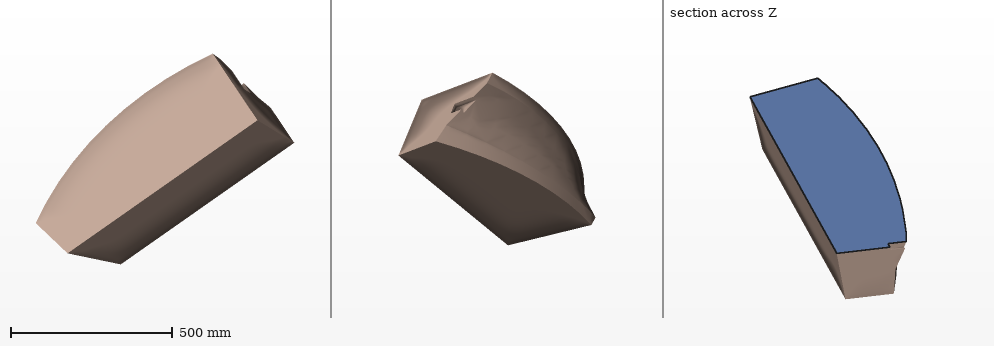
import cadquery as cq
import math

width = 306.0
length = 959.0
height = 260.0

front_lean = 218.0
back_top_y = 776.5
back_bottom_y = 927.0
back_skew = 0.21
oversize = 575.0

bulge_radius = 1237.0
upper_bulge_y = 598.0
lower_bulge_y = length - upper_bulge_y
lower_setback = 3.0
band_height = 40.0
band_taper = 0.19

slot_end_x = 141.0
slot_bottom_z = 123.0
slot_top_z = 167.0
slot_depth = 14.0


def prism(points, vector):
    """Sweep a closed polygon in a straight line."""
    wire = cq.Wire.makePolygon([cq.Vector(*p) for p in points], close=True)
    return cq.Workplane(obj=cq.Solid.extrudeLinear(wire, [], cq.Vector(*vector)))


def back_y(z):
    """Y of the +Y end along the flat side at height z."""
    return back_bottom_y + (back_top_y - back_bottom_y) * z / height


def sloping_block():
    """Block with its leaning -Y end and its leaning, skewed +Y end."""
    front_profile = [
        (width, 0, height),
        (width, front_lean, 0),
        (width, length + oversize, 0),
        (width, length + oversize, height),
    ]
    back_profile = [
        (width, -oversize, 0),
        (width, back_bottom_y, 0),
        (width, back_top_y, height),
        (width, -oversize, height),
    ]
    front_part = prism(front_profile, (-oversize, 0, 0))
    back_part = prism(back_profile, (-oversize, back_skew * oversize, 0))
    return front_part.intersect(back_part)


def flipped(shape):
    """Swap top and bottom about the mid-height plane."""
    return shape.mirror("XY", (0, 0, height / 2))


def bottom_band(block, bulge_y, setback):
    """Tapered slab at the bottom of the block, rounded by its bulge cylinder."""
    wedge_start = -10.0
    wedge_end = width + 10.0
    wedge_profile = [
        (wedge_start, 0),
        (wedge_end, 0),
        (wedge_end, band_height + band_taper * wedge_end),
        (wedge_start, band_height + band_taper * wedge_start),
    ]
    cylinder = (
        cq.Workplane("XY")
        .center(bulge_radius + setback, bulge_y)
        .circle(bulge_radius)
        .extrude(height)
    )
    wedge = cq.Workplane("XZ", origin=(0, -oversize, 0)).polyline(wedge_profile).close()
    wedge = wedge.extrude(-(length + 2 * oversize))
    return block.intersect(cylinder).intersect(wedge)


def middle_block(lower_face, upper_face):
    """Solid between two facing band faces, ruled along their curved edges."""
    lower_curve = lower_face.edges("not %LINE").val()
    upper_curve = cq.Edge(upper_face.edges("not %LINE").val().wrapped.Reversed())
    faces = [
        lower_face.val(),
        upper_face.val(),
        cq.Face.makeRuledSurface(lower_curve, upper_curve),
    ]
    for side in (">X", "<Y", ">Y"):
        lower_ends = lower_face.edges("%LINE").edges(side).vertices().vals()
        upper_ends = upper_face.edges("%LINE").edges(side).vertices().vals()
        along = cq.Vector(0, 1, 0) if side == ">X" else cq.Vector(1, 0, 0)
        corners = []
        for ends, flip in ((lower_ends, False), (upper_ends, True)):
            points = [cq.Vector(*v.toTuple()) for v in ends]
            corners += sorted(points, key=lambda p: p.dot(along), reverse=flip)
        outline = cq.Wire.makePolygon(corners, close=True)
        faces.append(cq.Face.makeFromWires(outline))
    return cq.Workplane(obj=cq.Solid.makeSolid(cq.Shell.makeShell(faces)).fix())


def slot_cutter():
    """Slot with side walls and floor square to the slope of the +Y end."""
    slope = math.atan2(back_bottom_y - back_top_y, height)
    inward_y = -math.cos(slope)
    inward_z = -math.sin(slope)

    def corner(z, depth):
        y = back_y(z) + depth * inward_y + back_skew * (width - slot_end_x)
        return (slot_end_x, y, z + depth * inward_z)

    profile = [
        corner(slot_bottom_z, -slot_depth),
        corner(slot_bottom_z, slot_depth),
        corner(slot_top_z, slot_depth),
        corner(slot_top_z, -slot_depth),
    ]
    return prism(profile, (-width, back_skew * width, 0))


block = sloping_block()
lower_band = bottom_band(block, lower_bulge_y, lower_setback)
upper_band = flipped(bottom_band(flipped(block), upper_bulge_y, 0))

middle = middle_block(lower_band.faces(">Z"), upper_band.faces("<Z"))

result = lower_band.union(middle).union(upper_band).cut(slot_cutter()).clean().solids()